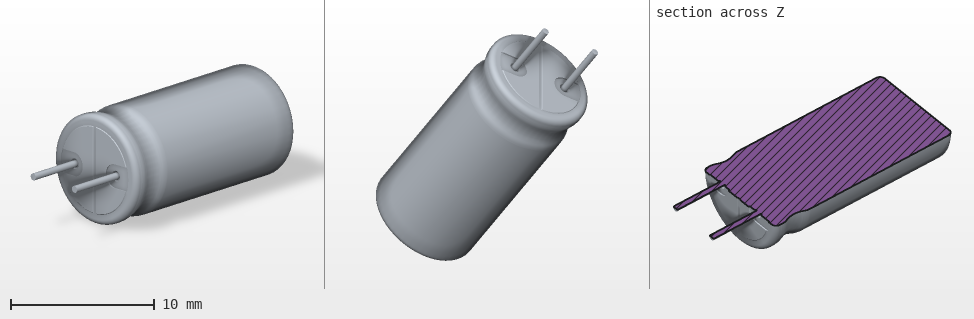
import cadquery as cq
import math


can_radius = 4.0
can_length = 16.0
end_fillet = 0.4

crimp_position = 1.9
crimp_depth = 0.28
crimp_hollow_radius = 1.75
crimp_blend_radius = 1.25

seal_radius = 6.5 / 2
seal_thickness = 1.0
pad_base_radius = 3.2
pad_height = 0.05
pad_side_inset = 0.05
vent_groove_floor_width = 0.2

lead_pocket_radius = 0.88
lead_pocket_depth = 0.05

lead_radius = 0.5 / 2
lead_length = 4.1
lead_pitch = 4.0
clearance_floor_radius = 0.57 / 2
clearance_mouth_radius = 0.77 / 2
clearance_depth = 0.1

pad_side_taper = math.degrees(math.atan(pad_side_inset / pad_height))
clearance_floor_y = lead_pocket_depth + clearance_depth


def face_plane(y):
    """Workplane at height y whose local axes are X and Z and whose normal is -Y."""
    return cq.Workplane("XZ", origin=(0, y, 0))


def make_can():
    """Solid can with rounded ends and the crimp groove, revolved about Y."""
    center_spacing = crimp_hollow_radius + crimp_blend_radius
    bottom_radius = can_radius - crimp_depth
    crimp_half_width = math.sqrt(center_spacing**2 - (center_spacing - crimp_depth) ** 2)
    slope = math.asin(crimp_half_width / center_spacing)

    def hollow_point(side):
        return (
            bottom_radius + crimp_hollow_radius * (1 - math.cos(slope)),
            crimp_position + side * crimp_hollow_radius * math.sin(slope),
        )

    def blend_middle(side):
        return (
            can_radius - crimp_blend_radius * (1 - math.cos(slope / 2)),
            crimp_position + side * (crimp_half_width - crimp_blend_radius * math.sin(slope / 2)),
        )

    corner_inset = end_fillet * (1 - math.sqrt(0.5))
    profile = (
        cq.Workplane("XY")
        .lineTo(can_radius - end_fillet, 0)
        .threePointArc((can_radius - corner_inset, corner_inset), (can_radius, end_fillet))
        .lineTo(can_radius, crimp_position - crimp_half_width)
        .threePointArc(blend_middle(-1), hollow_point(-1))
        .threePointArc((bottom_radius, crimp_position), hollow_point(1))
        .threePointArc(blend_middle(1), (can_radius, crimp_position + crimp_half_width))
        .lineTo(can_radius, can_length - end_fillet)
        .threePointArc(
            (can_radius - corner_inset, can_length - corner_inset),
            (can_radius - end_fillet, can_length),
        )
        .lineTo(0, can_length)
        .close()
    )
    return profile.revolve(360, (0, 0, 0), (0, 1, 0))


def make_seal():
    """Rubber disc that fills the open end of the can."""
    return face_plane(seal_thickness).circle(seal_radius).extrude(seal_thickness)


def make_pad(side):
    """Half-disc pad with sloping sides, standing on the seal face."""
    straight_x = side * vent_groove_floor_width / 2
    straight_end = math.sqrt(pad_base_radius**2 - straight_x**2)
    return (
        face_plane(0)
        .moveTo(straight_x, -straight_end)
        .threePointArc((side * pad_base_radius, 0), (straight_x, straight_end))
        .close()
        .extrude(pad_height, taper=pad_side_taper)
    )


def make_lead_pocket(side):
    """Slot around a lead, running outwards to the edge of the seal."""
    lead_x = side * lead_pitch / 2
    slot_length = seal_radius - lead_pitch / 2
    height = lead_pocket_depth + pad_height
    floor = face_plane(lead_pocket_depth)
    slot_end = floor.center(lead_x, 0).circle(lead_pocket_radius).extrude(height)
    slot_run = (
        floor.center(lead_x + side * slot_length / 2, 0)
        .rect(slot_length, 2 * lead_pocket_radius)
        .extrude(height)
    )
    seal_outline = floor.circle(seal_radius).extrude(height)
    return slot_end.union(slot_run).intersect(seal_outline)


def make_clearance(x):
    """Conical recess around a lead, narrowing towards its floor."""
    return (
        face_plane(clearance_floor_y)
        .center(x, 0)
        .circle(clearance_floor_radius)
        .workplane(offset=clearance_depth)
        .circle(clearance_mouth_radius)
        .loft()
    )


def make_lead(x):
    """Straight lead, rooted in the floor of its clearance recess."""
    root_depth = clearance_floor_y + clearance_depth
    return (
        face_plane(root_depth)
        .center(x, 0)
        .circle(lead_radius)
        .extrude(root_depth + lead_length)
    )


sides = (-1, 1)
seal = make_seal()
for side in sides:
    seal = seal.union(make_pad(side)).cut(make_lead_pocket(side))

result = make_can().cut(make_seal()).union(seal, clean=False)
for side in sides:
    lead_x = side * lead_pitch / 2
    result = result.cut(make_clearance(lead_x), clean=False)
    result = result.union(make_lead(lead_x), clean=False)